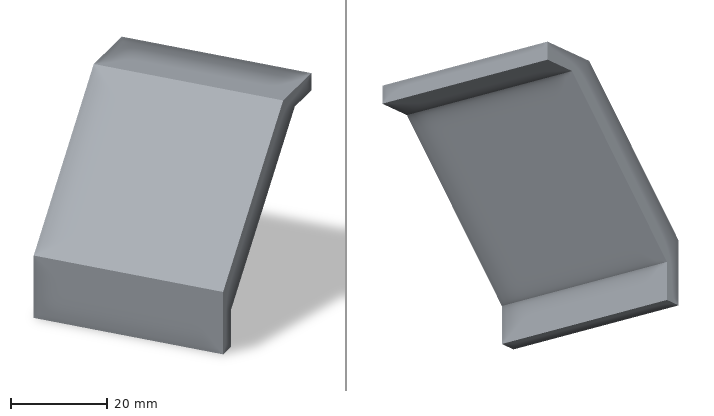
import cadquery as cq
import math

width = 43.0
leg_span = 45.0
flange_length = 14.35
flange_thickness = 4.0
web_thickness = 7.0

web_shift = web_thickness * math.sqrt(2)
inner_flange_length = flange_length + flange_thickness - web_shift

half_span = leg_span / 2
front = -half_span
back = half_span
bottom = -half_span
top = half_span

profile = [
    (back, top),
    (back - flange_length, top),
    (front, bottom + flange_length),
    (front, bottom),
    (front + flange_thickness, bottom),
    (front + flange_thickness, bottom + inner_flange_length),
    (back - inner_flange_length, top - flange_thickness),
    (back, top - flange_thickness),
]

result = cq.Workplane("YZ").polyline(profile).close().extrude(width / 2, both=True)